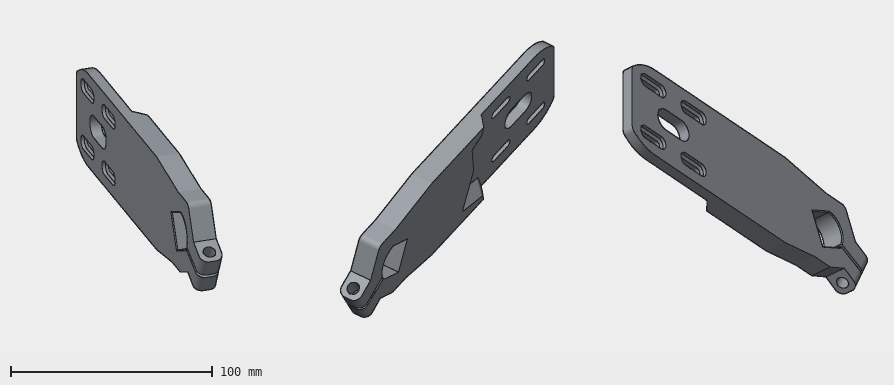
import cadquery as cq
import math

thickness = 12.0
thin_thickness = thickness / 2
half_width = 25.5

end_arc_center_x = 17.7
end_corner_fillet = 3.7

taper_start_x = 117.7
upper_taper_end = (150.0, 20.6)
upper_corner = (164.1, 20.6)
upper_corner_fillet = 4.0
upper_lug_root = (172.2, 3.3)
lower_taper_end = (140.7, -22.0)
lower_corner = (152.7, -22.0)
lower_lug_root = (163.5, -17.1)

clamp_angle = 25
bore_x = 151.5
bore_radius = 10.5
seat_width = 18.8
seat_reach = 9.0
bore_chamfer = 0.5
slit_width = 1.8
lug_half_width = 11.13
lug_length = 30.5
lug_end_fillet = 4.2
screw_diameter = 6.3
screw_distance = 24.7

motor_x = 31.8
mount_pitch = 31.0
slot_travel = 12.0
mount_slot_width = 4.0
counterbore_width = 7.4
counterbore_depth = 1.8
counterbore_floor_drop = 1.0
center_slot_width = 12.0

recess_draft = 47
recess_corner_fillet = 2.0
recess_overrun = 9.2
recess_outer_x = 61.5
recess_wall = [
    (67.9, 16.5),
    (75.0, 14.0),
    (74.0, 1.1),
    (81.3, -14.0),
    (67.9, -17.0),
]


def face_plane(x, z, y=0, turn=0):
    """XZ sketch plane at (x, y, z) with its first axis turned up from +X by `turn` degrees."""
    angle = math.radians(turn)
    return cq.Plane(origin=(x, y, z), xDir=(math.cos(angle), 0, math.sin(angle)), normal=(0, -1, 0))


def lug_point(along, across):
    """Point (X, Z) given by its distances from the bore centre along and across the lugs."""
    angle = math.radians(clamp_angle)
    x = bore_x + along * math.cos(angle) + across * math.sin(angle)
    z = -along * math.sin(angle) + across * math.cos(angle)
    return (x, z)


def fillet_edge_near(solid, point, radius):
    return solid.edges(cq.selectors.NearestToPointSelector(point)).fillet(radius)


def make_plate():
    end_z = math.sqrt(half_width**2 - end_arc_center_x**2)
    half_sweep = math.asin(end_arc_center_x / half_width) / 2
    arc_mid_x = end_arc_center_x - half_width * math.sin(half_sweep)
    arc_mid_z = half_width * math.cos(half_sweep)
    plate = (
        cq.Workplane(face_plane(0, 0))
        .moveTo(0, end_z)
        .threePointArc((arc_mid_x, arc_mid_z), (end_arc_center_x, half_width))
        .lineTo(taper_start_x, half_width)
        .lineTo(*upper_taper_end)
        .lineTo(*upper_corner)
        .lineTo(*upper_lug_root)
        .lineTo(*lug_point(lug_length, lug_half_width))
        .lineTo(*lug_point(lug_length, -lug_half_width))
        .lineTo(*lower_lug_root)
        .lineTo(*lower_corner)
        .lineTo(*lower_taper_end)
        .lineTo(taper_start_x, -half_width)
        .lineTo(end_arc_center_x, -half_width)
        .threePointArc((arc_mid_x, -arc_mid_z), (0, -end_z))
        .close()
        .extrude(-thickness)
    )
    mid_y = thickness / 2
    for z in (end_z, -end_z):
        plate = fillet_edge_near(plate, (0, mid_y, z), end_corner_fillet)
    corner_x, corner_z = upper_corner
    plate = fillet_edge_near(plate, (corner_x, mid_y, corner_z), upper_corner_fillet)
    lug_end_x, lug_end_z = lug_point(lug_length, 0)
    for y in (0, thickness):
        plate = fillet_edge_near(plate, (lug_end_x, y, lug_end_z), lug_end_fillet)
    return plate


def make_recess():
    """Cutter for the recess: it widens from its floor to the back face by the draft angle."""
    depth = thickness - thin_thickness
    outer_z = half_width + recess_overrun
    open_x = -2 * outer_z
    corners = [
        (open_x, outer_z),
        (recess_outer_x, outer_z),
        *recess_wall,
        (recess_outer_x, -outer_z),
        (open_x, -outer_z),
    ]
    floor = cq.Workplane(face_plane(0, 0, thin_thickness)).polyline(corners).close().wires().val()
    spread = depth * math.tan(math.radians(recess_draft))
    rim = floor.offset2D(spread, "intersection")[0].translate(cq.Vector(0, depth, 0))
    recess = cq.Workplane(obj=cq.Solid.makeLoft([floor, rim], True))

    def is_wall_corner(edge):
        ends = (edge.startPoint(), edge.endPoint())
        sloped = abs(ends[0].y - ends[1].y) > depth / 2
        floor_end = min(ends, key=lambda end: end.y)
        return sloped and abs(floor_end.z) < half_width

    wall_corners = [edge for edge in recess.edges().vals() if is_wall_corner(edge)]
    return cq.Workplane(obj=recess.val().fillet(recess_corner_fillet, wall_corners))


def slot_sketch(x, z, width, y=0):
    return cq.Workplane(face_plane(x, z, y)).slot2D(slot_travel + width, width)


def make_mount_slot(x, z):
    """Through slot with a straight counterbore whose floor slopes down to the slot."""
    floor_inset = (counterbore_width - mount_slot_width) / 2
    floor_taper = math.degrees(math.atan(floor_inset / counterbore_floor_drop))
    through = slot_sketch(x, z, mount_slot_width).extrude(-thickness)
    counterbore = slot_sketch(x, z, counterbore_width).extrude(-counterbore_depth)
    floor = slot_sketch(x, z, counterbore_width, counterbore_depth)
    floor = floor.extrude(-counterbore_floor_drop, taper=floor_taper)
    return through.union(counterbore).union(floor)


def bore_outline(y, growth):
    """Wire around the seat and bore at depth y, with every side moved out by `growth`."""
    half_seat = seat_width / 2 + growth
    reach = seat_reach + growth
    radius = bore_radius + growth
    side_end = math.sqrt(radius**2 - half_seat**2)
    outline = (
        cq.Workplane(face_plane(bore_x, 0, y, clamp_angle))
        .moveTo(-reach, half_seat)
        .lineTo(side_end, half_seat)
        .threePointArc((radius, 0), (side_end, -half_seat))
        .lineTo(-reach, -half_seat)
        .close()
    )
    return outline.wires().val()


def make_clamp_bore():
    """Seat and bore as one through opening with a chamfered front edge."""
    inner = bore_outline(0, 0)
    bore = cq.Workplane(obj=cq.Solid.extrudeLinear(inner, [], cq.Vector(0, thickness, 0)))
    rim = [bore_outline(0, bore_chamfer), bore_outline(bore_chamfer, 0)]
    return bore.union(cq.Workplane(obj=cq.Solid.makeLoft(rim, True)))


def make_slit():
    """Slit from the bore centre out through the ends of the lugs."""
    length = lug_length + slit_width
    plane = face_plane(bore_x, 0, turn=-clamp_angle)
    return cq.Workplane(plane).center(length / 2, 0).rect(length, slit_width).extrude(-thickness)


def make_screw_hole():
    """Cross hole through both lugs, square to the slit."""
    x, z = lug_point(screw_distance, 0)
    angle = math.radians(clamp_angle)
    across = (math.sin(angle), 0, math.cos(angle))
    plane = cq.Plane(origin=(x, thickness / 2, z), xDir=(0, 1, 0), normal=across)
    return cq.Workplane(plane).circle(screw_diameter / 2).extrude(2 * lug_half_width, both=True)


result = make_plate().cut(make_recess())

for side_x in (-1, 1):
    for side_z in (-1, 1):
        slot_x = motor_x + side_x * mount_pitch / 2
        slot_z = side_z * mount_pitch / 2
        result = result.cut(make_mount_slot(slot_x, slot_z))
result = result.cut(slot_sketch(motor_x, 0, center_slot_width).extrude(-thickness))

result = result.cut(make_clamp_bore())
result = result.cut(make_slit())
result = result.cut(make_screw_hole())